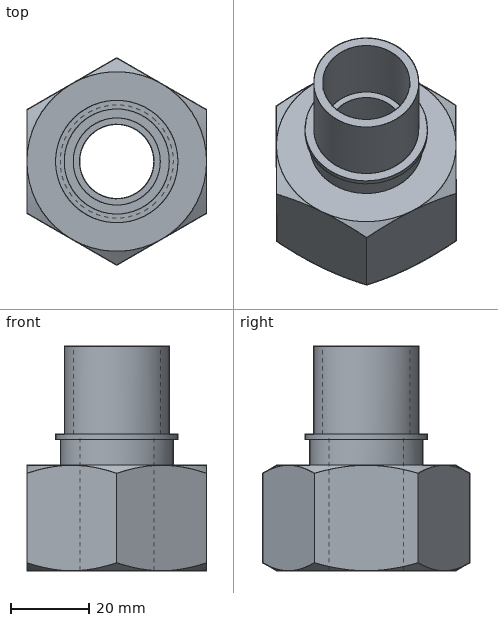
import cadquery as cq
import math

total_height = 57.5
nut_height = 27.0
nut_across_flats = 46.0
chamfer_angle = 30.0

neck_diameter = 29.0
flange_diameter = 31.35
flange_bottom = 33.6
flange_thickness = 1.45
tube_diameter = 26.9

bore_diameter = 19.0
socket_diameter = 22.3

flange_top = flange_bottom + flange_thickness
nut_across_corners = nut_across_flats / math.cos(math.radians(30))
chamfer_width = (nut_across_corners - nut_across_flats) / 2
chamfer_drop = chamfer_width * math.tan(math.radians(chamfer_angle))


def cylinder(diameter, bottom, top):
    """Upright cylinder on the Z axis between two heights."""
    return cq.Workplane("XY").workplane(offset=bottom).circle(diameter / 2).extrude(top - bottom)


def chamfered_nut():
    """Hexagon with corners on the Y axis and conically chamfered ends."""
    hexagon = (
        cq.Workplane("XY")
        .polygon(6, nut_across_corners)
        .extrude(nut_height)
        .rotate((0, 0, 0), (0, 0, 1), 90)
    )
    flat_radius = nut_across_flats / 2
    corner_radius = nut_across_corners / 2
    chamfer_envelope = (
        cq.Workplane("XZ")
        .moveTo(0, 0)
        .lineTo(flat_radius, 0)
        .lineTo(corner_radius, chamfer_drop)
        .lineTo(corner_radius, nut_height - chamfer_drop)
        .lineTo(flat_radius, nut_height)
        .lineTo(0, nut_height)
        .close()
        .revolve(360, (0, 0, 0), (0, 1, 0))
    )
    return hexagon.intersect(chamfer_envelope)


def stem():
    """Neck, flange and tube as one stepped round body."""
    neck = cylinder(neck_diameter, nut_height, flange_bottom)
    flange = cylinder(flange_diameter, flange_bottom, flange_top)
    tube = cylinder(tube_diameter, flange_top, total_height)
    return neck.union(flange).union(tube)


def stepped_bore():
    """Through bore, widened to a socket inside the tube down to the flange."""
    bore = cylinder(bore_diameter, 0, total_height)
    socket = cylinder(socket_diameter, flange_top, total_height)
    return bore.union(socket)


result = chamfered_nut().union(stem()).cut(stepped_bore())